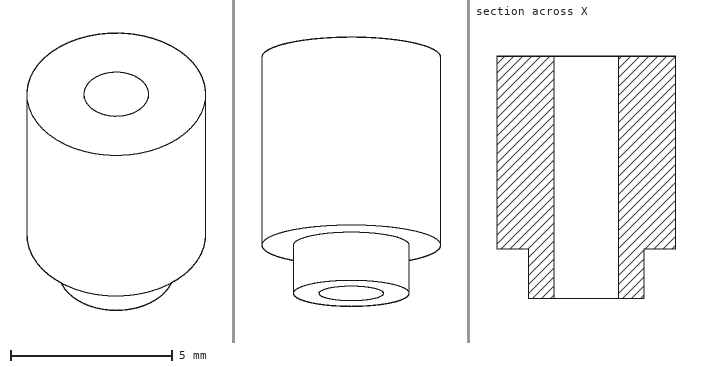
import cadquery as cq

total_height = 7.53
spigot_height = 1.535
body_height = total_height - spigot_height
body_diameter = 5.56
spigot_diameter = 3.6
bore_diameter = 2.0

spigot = cq.Workplane("XY").circle(spigot_diameter / 2).extrude(spigot_height)

stepped_body = spigot.faces(">Z").workplane().circle(body_diameter / 2).extrude(body_height)

result = stepped_body.faces(">Z").workplane().hole(bore_diameter)